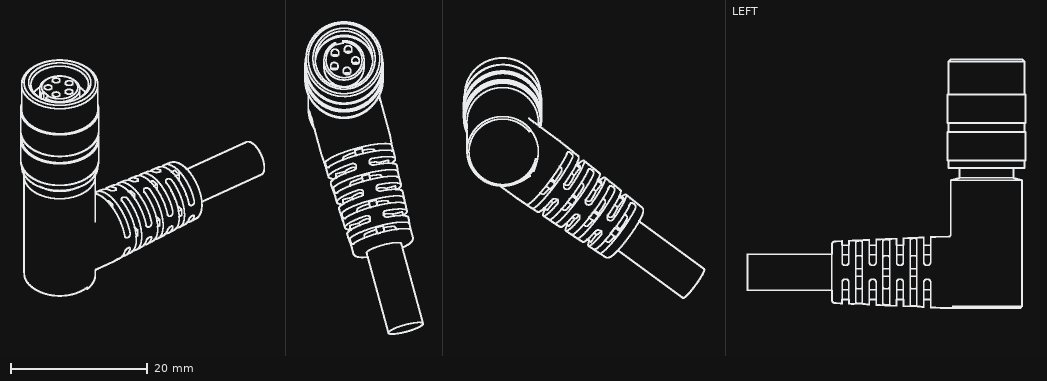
import cadquery as cq

ELBOW_DIA = 10.5
ELBOW_RADIUS = ELBOW_DIA / 2
BASE_Z = -ELBOW_RADIUS
TOTAL_HEIGHT = 36.5
TOP_Z = BASE_Z + TOTAL_HEIGHT
TOTAL_LENGTH = 40.85

BASE_CHAMFER = 0.3
BASE_CHAMFER_GAP_ANGLE = 50
SEAM_FILLET = 0.3
SHOULDER_Z = 13.85
SHOULDER_BEVEL_HEIGHT = 0.35

NECK_DIA = 8.0
SLEEVE_DIA = 11.2
SLEEVE_HEIGHT = 16.0
SLEEVE_BASE_Z = TOP_Z - SLEEVE_HEIGHT
SLEEVE_BASE_CHAMFER = 0.1
RIM_DIA = 10.5
RIM_CHAMFER = (SLEEVE_DIA - RIM_DIA) / 2
BAND_DIA = 11.5
BAND_HEIGHT = 4.3
BAND_CHAMFER = 0.1
BAND_BASE_DEPTHS = (9.4, 14.9)

BORE_DIA = 8.46
BORE_MOUTH_DIA = 9.15
UNDERCUT_DIA = BORE_MOUTH_DIA
UNDERCUT_START_DEPTH = 3.4
BORE_DEPTH = 6.0
INSERT_DIA = 5.9
INSERT_FACE_DIA = 5.3
INSERT_CHAMFER = (INSERT_DIA - INSERT_FACE_DIA) / 2
INSERT_RECESS = 0.9
KEYWAY_WIDTH = 1.1
KEYWAY_FLOOR_Y = -2.5
CONTACT_COUNT = 5
CONTACT_DIA = 1.1
CONTACT_CIRCLE_RADIUS = 1.7
CONTACT_DEPTH = 4.0

CABLE_DIA = 5.3
CABLE_END_Y = TOTAL_LENGTH - BAND_DIA / 2
BOOT_TAPER_START_Y = 6.7
BOOT_END_Y = 22.7
BOOT_END_DIA = 9.05
BOOT_END_FILLET = 0.5

SLOT_WIDTH = 1.0
SLOT_PITCH = 2.0
SLOT_COUNT = 7
FIRST_SLOT_Y = 8.7
BRIDGE_WIDTH = 2.0
RIB_WIDTH = 1.1
RIB_SPAN = 8.0


def upright_cylinder(diameter, bottom_z, top_z):
    return cq.Workplane("XY").workplane(offset=bottom_z).circle(diameter / 2).extrude(top_z - bottom_z)


def cable_cylinder(diameter, start_y, end_y):
    plane = cq.Plane(origin=(0, start_y, 0), xDir=(1, 0, 0), normal=(0, 1, 0))
    return cq.Workplane(plane).circle(diameter / 2).extrude(end_y - start_y)


def make_boot_blank():
    """Horizontal half of the elbow, mitred at 45 degrees, with its taper towards the cable."""
    straight = cable_cylinder(ELBOW_DIA, 0, BOOT_TAPER_START_Y)
    mitre = (
        cq.Workplane("YZ")
        .polyline([(0, 0), (BOOT_END_Y, BOOT_END_Y), (BOOT_END_Y, -BOOT_END_Y)])
        .close()
        .extrude(ELBOW_DIA, both=True)
    )
    taper = cq.Workplane(cq.Solid.makeCone(
        ELBOW_RADIUS,
        BOOT_END_DIA / 2,
        BOOT_END_Y - BOOT_TAPER_START_Y,
        cq.Vector(0, BOOT_TAPER_START_Y, 0),
        cq.Vector(0, 1, 0),
    ))
    taper = taper.faces(">Y").edges().fillet(BOOT_END_FILLET)
    return straight.union(taper).intersect(mitre)


def make_elbow():
    """Upright body joined to the boot blank, with the seam between them filleted."""
    excess = ELBOW_DIA
    upright = upright_cylinder(ELBOW_DIA, BASE_Z - excess, SHOULDER_Z - SHOULDER_BEVEL_HEIGHT)
    elbow = upright.union(make_boot_blank()).edges("%ELLIPSE").fillet(SEAM_FILLET)
    trim_size = 4 * ELBOW_DIA
    trim = cq.Workplane("XY").workplane(offset=BASE_Z).rect(trim_size, trim_size).extrude(-2 * excess)
    return elbow.cut(trim)


def make_base_chamfer_cut():
    """Ring wedge around the base edge, left open where the boot runs into the body."""
    clearance = BASE_CHAMFER
    ring = (
        cq.Workplane("XZ")
        .moveTo(ELBOW_RADIUS, BASE_Z + BASE_CHAMFER)
        .lineTo(ELBOW_RADIUS - BASE_CHAMFER, BASE_Z)
        .lineTo(ELBOW_RADIUS - BASE_CHAMFER, BASE_Z - clearance)
        .lineTo(ELBOW_RADIUS, BASE_Z - clearance)
        .close()
        .revolve(360 - BASE_CHAMFER_GAP_ANGLE, (0, 0, 0), (0, 1, 0))
    )
    return ring.rotate((0, 0, 0), (0, 0, 1), 90 - BASE_CHAMFER_GAP_ANGLE / 2)


def make_shoulder_and_neck():
    shoulder_base_z = SHOULDER_Z - SHOULDER_BEVEL_HEIGHT
    shoulder = cq.Workplane(cq.Solid.makeCone(
        ELBOW_RADIUS, NECK_DIA / 2, SHOULDER_BEVEL_HEIGHT, cq.Vector(0, 0, shoulder_base_z)
    ))
    return shoulder.union(upright_cylinder(NECK_DIA, SHOULDER_Z, SLEEVE_BASE_Z))


def make_sleeve():
    sleeve = (
        upright_cylinder(SLEEVE_DIA, SLEEVE_BASE_Z, TOP_Z)
        .faces(">Z").chamfer(RIM_CHAMFER)
        .faces("<Z").chamfer(SLEEVE_BASE_CHAMFER)
    )
    for depth in BAND_BASE_DEPTHS:
        band_base_z = TOP_Z - depth
        band = upright_cylinder(BAND_DIA, band_base_z, band_base_z + BAND_HEIGHT)
        sleeve = sleeve.union(band.faces("<Z or >Z").chamfer(BAND_CHAMFER))
    return sleeve


def make_socket_cut():
    floor_z = TOP_Z - BORE_DEPTH
    bore = upright_cylinder(BORE_DIA, floor_z, TOP_Z)
    undercut = upright_cylinder(UNDERCUT_DIA, floor_z, TOP_Z - UNDERCUT_START_DEPTH)
    mouth_chamfer = (BORE_MOUTH_DIA - BORE_DIA) / 2
    mouth = cq.Workplane(cq.Solid.makeCone(
        BORE_DIA / 2, BORE_MOUTH_DIA / 2, mouth_chamfer, cq.Vector(0, 0, TOP_Z - mouth_chamfer)
    ))
    return bore.union(undercut).union(mouth)


def make_insert():
    face_z = TOP_Z - INSERT_RECESS
    floor_z = TOP_Z - BORE_DEPTH
    insert = upright_cylinder(INSERT_DIA, floor_z, face_z).faces(">Z").chamfer(INSERT_CHAMFER)
    contacts = (
        cq.Workplane("XY")
        .workplane(offset=face_z)
        .polarArray(CONTACT_CIRCLE_RADIUS, 90, 360, CONTACT_COUNT)
        .circle(CONTACT_DIA / 2)
        .extrude(-CONTACT_DEPTH)
    )
    keyway = cq.Workplane("XY").box(
        KEYWAY_WIDTH, INSERT_DIA, face_z - floor_z, centered=(True, False, False)
    ).translate((0, KEYWAY_FLOOR_Y - INSERT_DIA, floor_z))
    return insert.cut(contacts).cut(keyway)


def make_slot_cut(center_y):
    """Pair of round-ended slots along X, leaving the cable core and one rib across Z."""
    half_span = ELBOW_DIA / 2 + SLOT_WIDTH
    bridge_half = BRIDGE_WIDTH / 2
    slot_length = half_span - bridge_half
    slots = (
        cq.Workplane("YZ")
        .pushPoints([(center_y, side * (bridge_half + slot_length / 2)) for side in (-1, 1)])
        .slot2D(slot_length, SLOT_WIDTH, 90)
        .extrude(ELBOW_DIA, both=True)
    )
    start_y = center_y - SLOT_WIDTH
    end_y = center_y + SLOT_WIDTH
    core = cable_cylinder(CABLE_DIA, start_y, end_y)
    rib = cq.Workplane("XY").box(RIB_WIDTH, end_y - start_y, RIB_SPAN).translate((0, center_y, 0))
    return slots.cut(core).cut(rib)


def cut_flex_slots(body):
    """Cut the slot rings, each turned a quarter turn from the one before it."""
    for index in range(SLOT_COUNT):
        slot_cut = make_slot_cut(FIRST_SLOT_Y + index * SLOT_PITCH)
        if index % 2 == 1:
            slot_cut = slot_cut.rotate((0, 0, 0), (0, 1, 0), 90)
        body = body.cut(slot_cut)
    return body


connector = make_sleeve().cut(make_socket_cut()).union(make_insert()).union(make_shoulder_and_neck())
cable = cable_cylinder(CABLE_DIA, BOOT_END_Y, CABLE_END_Y)
body = cut_flex_slots(make_elbow()).cut(make_base_chamfer_cut())
result = body.union(cable).union(connector)